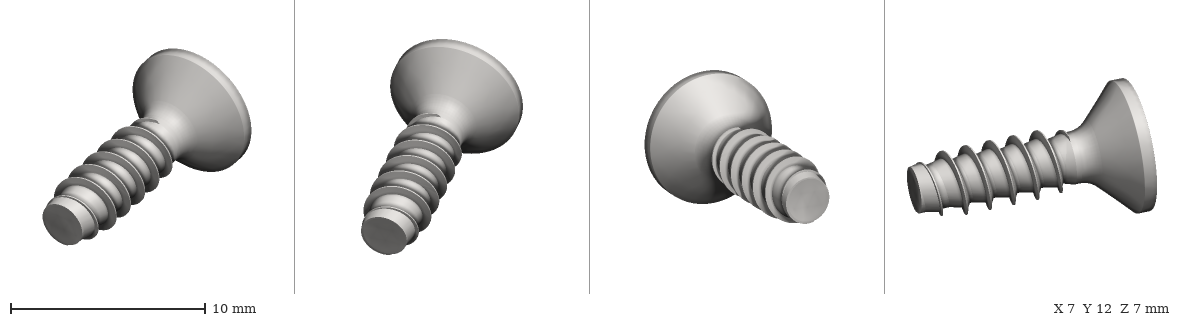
import cadquery as cq
import math


overall_length = 12.0
head_diameter = 7.0
head_radius = head_diameter / 2
rim_height = 0.67
rim_rounding = 0.04
cone_angle = math.radians(45)
neck_radius = 1.37
neck_fillet = 1.38

thread_start_depth = 3.66
core_radius = 1.2
core_taper_length = 0.55
dish_radius = 1.15
dish_depth = 0.11

pitch = 1.28
first_crest_depth = 3.64
crest_radius = 1.76
crest_half_width = 0.04
flank_knee_offset = 0.13
flank_knee_radius = 1.46
upper_foot_offset = 0.34
buried_radius = 1.14
lower_foot_offset = 0.15
lower_foot_radius = 1.35
back_taper_end_offset = 0.86
back_taper_end_radius = 1.19

first_turn = -0.25
full_height_turn = 1.0
run_out_turn = 5.0
last_turn = 6.65
run_in_drop_per_turn = 0.26
run_out_drop_per_turn = 0.34
largest_drop = 0.55
least_height_left = 0.05
points_per_turn = 24


def make_head():
    """Rounded rim, countersink cone, filleted neck and the taper down to the core."""
    fillet_rise = neck_fillet * (1 - math.cos(cone_angle))
    cone_end_radius = neck_radius + fillet_rise
    cone_end_depth = rim_height + (head_radius - cone_end_radius) / math.tan(cone_angle)
    fillet_end_depth = cone_end_depth + neck_fillet * math.sin(cone_angle)
    half_angle = cone_angle / 2
    fillet_middle = (
        neck_radius + neck_fillet * (1 - math.cos(half_angle)),
        -fillet_end_depth + neck_fillet * math.sin(half_angle),
    )

    head = (
        cq.Workplane("XY")
        .moveTo(0, 0)
        .lineTo(head_radius, 0)
        .lineTo(head_radius, -rim_height)
        .lineTo(cone_end_radius, -cone_end_depth)
        .threePointArc(fillet_middle, (neck_radius, -fillet_end_depth))
        .lineTo(neck_radius, -thread_start_depth)
        .lineTo(core_radius, -thread_start_depth - core_taper_length)
        .lineTo(0, -thread_start_depth - core_taper_length)
        .close()
        .revolve(360, (0, 0, 0), (0, 1, 0))
    )
    rim_box = cq.selectors.BoxSelector(
        (-head_radius, -rim_height - rim_rounding, -head_radius),
        (head_radius, rim_rounding, head_radius),
    )
    return head.edges("%CIRCLE").edges(rim_box).fillet(rim_rounding)


def thread_drop(turn):
    """How far the thread has sunk towards the axis at a given turn."""
    run_in = (full_height_turn - turn) * run_in_drop_per_turn
    run_out = (turn - run_out_turn) * run_out_drop_per_turn
    return min(max(run_in, run_out, 0), largest_drop)


def thread_profile(turn):
    """Thread section as (offset towards the tip from the crest, radius) corners."""
    drop = thread_drop(turn)
    height_left = max(1 - drop / (crest_radius - lower_foot_radius), least_height_left)
    lower_foot = crest_half_width + height_left * (lower_foot_offset - crest_half_width)
    upper_foot = flank_knee_offset + height_left * (upper_foot_offset - flank_knee_offset)
    flank_knee = crest_half_width + height_left * (flank_knee_offset - crest_half_width)
    crest = crest_radius - drop
    return [
        (-upper_foot, buried_radius - drop),
        (-flank_knee, flank_knee_radius - drop),
        (-crest_half_width, crest),
        (crest_half_width, crest),
        (lower_foot, min(lower_foot_radius, crest)),
        (back_taper_end_offset, back_taper_end_radius),
        (back_taper_end_offset, buried_radius - largest_drop),
    ]


def thread_corner(turn, corner):
    """Point in space of one profile corner at a given turn."""
    offset, radius = thread_profile(turn)[corner]
    angle = math.pi / 2 + 2 * math.pi * turn
    depth = first_crest_depth + pitch * turn + offset
    return cq.Vector(radius * math.cos(angle), -depth, radius * math.sin(angle))


def make_thread():
    """Ruled helical faces between the paths of the profile corners, closed by end caps."""
    corners = range(len(thread_profile(first_turn)))
    steps = math.ceil((last_turn - first_turn) * points_per_turn)
    turns = [first_turn + (last_turn - first_turn) * i / steps for i in range(steps + 1)]
    paths = [cq.Edge.makeSpline([thread_corner(t, c) for t in turns]) for c in corners]
    faces = [cq.Face.makeRuledSurface(paths[c - 1], paths[c]) for c in corners]
    for turn in (first_turn, last_turn):
        outline = cq.Wire.makePolygon([thread_corner(turn, c) for c in corners], close=True)
        faces.append(cq.Face.makeFromWires(outline))
    return cq.Workplane(obj=cq.Solid.makeSolid(cq.Shell.makeShell(faces)).fix())


def shank_cylinder(radius):
    """Cylinder about Y from the start of the thread to the tip."""
    return (
        cq.Workplane("XZ", origin=(0, -thread_start_depth, 0))
        .circle(radius)
        .extrude(overall_length - thread_start_depth)
    )


def make_tip_dish():
    """Ball whose surface leaves a shallow hollow in the tip."""
    ball_radius = (dish_radius**2 + dish_depth**2) / (2 * dish_depth)
    ball_center = (0, dish_depth - overall_length - ball_radius, 0)
    return cq.Workplane("XY").sphere(ball_radius).translate(ball_center)


thread = make_thread().intersect(shank_cylinder(head_radius))
shank = shank_cylinder(core_radius).union(thread)
result = shank.union(make_head()).cut(make_tip_dish())